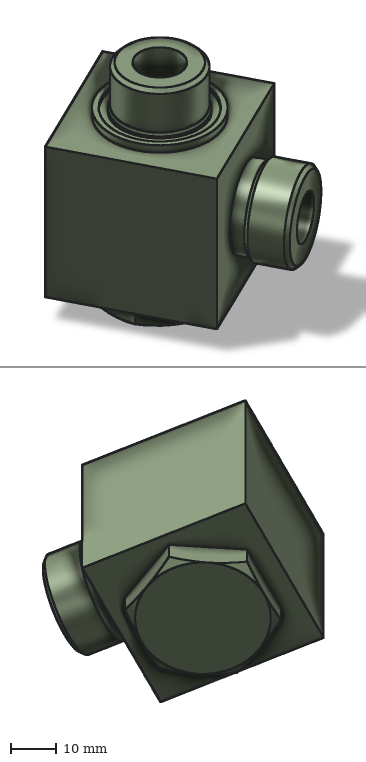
import cadquery as cq
import math

overall_length = 54.0
block_side = 40.0
block_half = block_side / 2

hex_across_flats = 30.0
hex_height = 6.0
hex_chamfer_angle = math.radians(30)

collar_diameter = 30.0
collar_height = 2.0
stud_diameter = 22.0
stud_height = 12.0
stud_chamfer = 1.0
undercut_depth = 1.0
undercut_height = 0.8

seal_outer_diameter = 27.0
seal_inner_diameter = 23.0
seal_radius = (seal_outer_diameter - seal_inner_diameter) / 4
seal_recess = 0.05

port_length = overall_length - block_side
port_diameter = 24.0
port_chamfer = 1.0
neck_diameter = 22.15
neck_length = 3.4

bore_diameter = 12.0


def revolve_profile(points):
    """Turn a closed (radius, height) outline about the Z axis."""
    profile = cq.Workplane("XZ").polyline(points).close()
    return profile.revolve(360, (0, 0, 0), (0, 1, 0))


def make_hex_nut():
    """Hexagon with corners on Y and its lower corners turned off conically."""
    corner_radius = hex_across_flats / 2 / math.cos(math.pi / 6)
    flat_radius = hex_across_flats / 2
    chamfer_height = (corner_radius - flat_radius) * math.tan(hex_chamfer_angle)
    bottom = -block_half - hex_height
    prism = (
        cq.Workplane("XY", origin=(0, 0, bottom))
        .polygon(6, 2 * corner_radius)
        .extrude(hex_height)
        .rotate((0, 0, 0), (0, 0, 1), 30)
    )
    turned_envelope = revolve_profile([
        (0, bottom),
        (flat_radius, bottom),
        (corner_radius, bottom + chamfer_height),
        (corner_radius, -block_half),
        (0, -block_half),
    ])
    return prism.intersect(turned_envelope)


def make_stud():
    """Collar and stud, chamfered at the tip and undercut at the root."""
    radius = stud_diameter / 2
    collar_top = block_half + collar_height
    tip = collar_top + stud_height
    return revolve_profile([
        (0, block_half),
        (collar_diameter / 2, block_half),
        (collar_diameter / 2, collar_top),
        (radius - undercut_depth, collar_top),
        (radius, collar_top + undercut_height),
        (radius, tip - stud_chamfer),
        (radius - stud_chamfer, tip),
        (0, tip),
    ])


def make_seal_groove():
    """Ring-shaped groove in the collar, reaching down to the middle of the seal."""
    depth = seal_radius + seal_recess
    return (
        cq.Workplane("XY", origin=(0, 0, block_half + collar_height - depth))
        .circle(seal_outer_diameter / 2)
        .circle(seal_inner_diameter / 2)
        .extrude(depth)
    )


def make_seal():
    """Round-section ring filling the groove."""
    ring_radius = (seal_outer_diameter + seal_inner_diameter) / 4
    seal_middle = block_half + collar_height - seal_recess - seal_radius
    section = cq.Workplane("XZ").center(ring_radius, seal_middle).circle(seal_radius)
    return section.revolve(360, (-ring_radius, 0, 0), (-ring_radius, 1, 0))


def make_port():
    """Neck and chamfered thread, turned about Z and then laid along +X."""
    radius = port_diameter / 2
    neck_radius = neck_diameter / 2
    neck_end = block_half + neck_length
    tip = block_half + port_length
    port = revolve_profile([
        (0, block_half),
        (neck_radius, block_half),
        (neck_radius, neck_end),
        (radius, neck_end + port_chamfer),
        (radius, tip - port_chamfer),
        (radius - port_chamfer, tip),
        (0, tip),
    ])
    return port.rotate((0, 0, 0), (0, 1, 0), 90)


def make_passage():
    """Bores from the stud and the port, joined by a spherical elbow."""
    stud_bore = cq.Workplane("XY").circle(bore_diameter / 2)
    stud_bore = stud_bore.extrude(block_half + collar_height + stud_height)
    port_bore = cq.Workplane("YZ").circle(bore_diameter / 2)
    port_bore = port_bore.extrude(block_half + port_length)
    elbow = cq.Workplane("XY").sphere(bore_diameter / 2)
    return stud_bore.union(port_bore).union(elbow)


block = cq.Workplane("XY").box(block_side, block_side, block_side)
body = block.union(make_hex_nut()).union(make_stud()).union(make_port())
body = body.cut(make_seal_groove()).union(make_seal())
result = body.cut(make_passage())